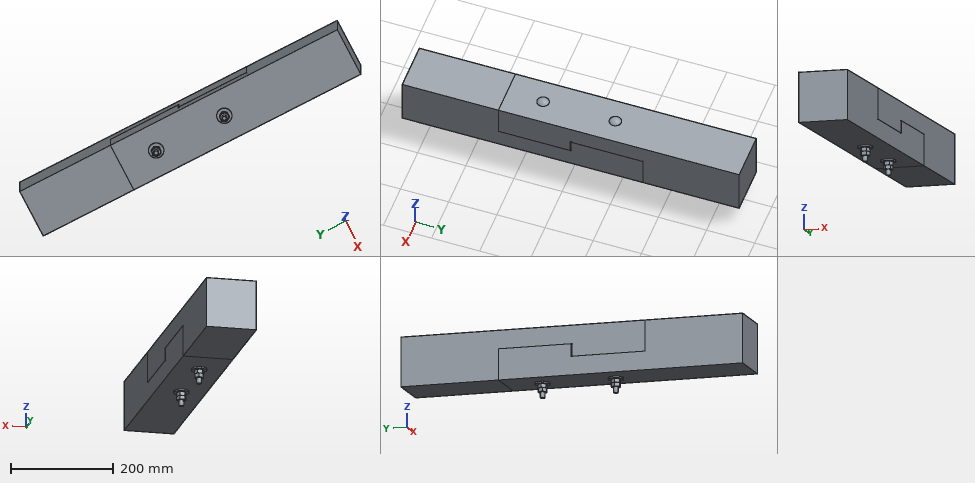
import cadquery as cq
import math

beam_length = 700.0
beam_size = 100.0

splice_length = 300.0
table_height = 25.0
tongue_height = (beam_size - table_height) / 2
table_gap = 2.0

bolt_diameter = 10.0
shank_length = 130.0
tip_chamfer_length = 3.0
tip_chamfer_depth = 1.0
head_diameter = 24.5
head_height = 5.0
bolt_spacing = splice_length / 2

washer_diameter = 30.0
washer_thickness = 3.0
nut_across_flats = 17.0
nut_height = 0.8 * bolt_diameter
lock_nut_turn = 15

half_length = beam_length / 2
half_splice = splice_length / 2
bolt_positions = (-bolt_spacing / 2, bolt_spacing / 2)
lower_nut_turns = (0, lock_nut_turn)


def make_beam_half():
    """Half at the +Y end, whose tongue lies on top and reaches to the -Y shoulder."""
    table_bottom = tongue_height
    table_top = beam_size - tongue_height
    profile = [
        (half_length, 0),
        (half_length, beam_size),
        (-half_splice, beam_size),
        (-half_splice, table_bottom),
        (-table_gap / 2, table_bottom),
        (-table_gap / 2, table_top),
        (half_splice, table_top),
        (half_splice, 0),
    ]
    half = cq.Workplane("YZ").polyline(profile).close().extrude(beam_size / 2, both=True)
    bolt_holes = (
        cq.Workplane("XY")
        .pushPoints([(0, y) for y in bolt_positions])
        .circle(bolt_diameter / 2)
        .extrude(beam_size)
    )
    return half.cut(bolt_holes)


def make_bolt(y):
    """Bolt with a spherical-cap head that rests on the top of the beam."""
    shank = (
        cq.Workplane("XY", origin=(0, y, beam_size))
        .circle(bolt_diameter / 2)
        .extrude(-shank_length)
        .faces("<Z")
        .chamfer(tip_chamfer_length, tip_chamfer_depth)
    )
    head_radius = head_diameter / 2
    dome_radius = (head_radius**2 + head_height**2) / (2 * head_height)
    half_angle = math.asin(head_radius / dome_radius) / 2
    dome_centre = head_height - dome_radius
    dome_midpoint = (
        dome_radius * math.sin(half_angle),
        dome_centre + dome_radius * math.cos(half_angle),
    )
    head = (
        cq.Workplane("YZ", origin=(0, y, beam_size))
        .lineTo(head_radius, 0)
        .threePointArc(dome_midpoint, (0, head_height))
        .close()
        .revolve(360, (0, 0, 0), (0, 1, 0))
    )
    return shank.union(head)


def make_washer(y):
    """Flat washer against the underside of the beam."""
    return (
        cq.Workplane("XY", origin=(0, y, 0))
        .circle(washer_diameter / 2)
        .circle(bolt_diameter / 2)
        .extrude(-washer_thickness)
    )


def make_nut(y, top, turn):
    """Hexagon nut with chamfered corners, turned by `turn` degrees from having two corners along X."""
    across_corners = nut_across_flats / math.cos(math.pi / 6)
    corner_chamfer = (across_corners - nut_across_flats) / 2
    base = cq.Workplane("XY", origin=(0, y, top))
    hexagon = base.polygon(6, across_corners).extrude(-nut_height)
    turned_blank = (
        base.circle(across_corners / 2)
        .extrude(-nut_height)
        .faces("<Z or >Z")
        .chamfer(corner_chamfer * math.tan(math.pi / 6), corner_chamfer)
    )
    bore = base.circle(bolt_diameter / 2).extrude(-nut_height)
    nut = hexagon.intersect(turned_blank).cut(bore)
    return nut.rotate((0, y, 0), (0, y, 1), turn)


def make_nut_pair(y, lower_turn):
    """Nut against the washer and a second nut that locks it from below."""
    upper_nut = make_nut(y, -washer_thickness, 0)
    lower_nut = make_nut(y, -washer_thickness - nut_height, lower_turn)
    return [upper_nut.val(), lower_nut.val()]


upper_half = make_beam_half()
lower_half = upper_half.rotate((0, 0, beam_size / 2), (1, 0, beam_size / 2), 180)

bodies = [upper_half.val(), lower_half.val()]
for bolt_y, lower_turn in zip(bolt_positions, lower_nut_turns):
    bodies.append(make_bolt(bolt_y).val())
    bodies.append(make_washer(bolt_y).val())
    bodies.extend(make_nut_pair(bolt_y, lower_turn))

result = cq.Compound.makeCompound(bodies)